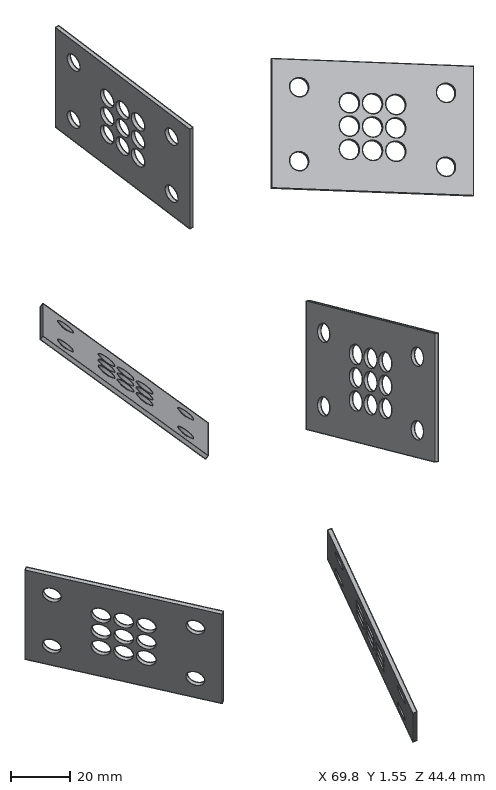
import cadquery as cq

plate_length = 69.85
plate_thickness = 1.55
plate_height = 44.4

mounts_per_side = 2
mount_diameter = 6.65
mount_spacing_x = 50.85
mount_spacing_z = mount_spacing_x / 2

grid_count = 3
grid_pitch = 8.0
grid_diameter = 7.0


def drill_array(plate, pitch_x, pitch_z, count, diameter):
    """Drill a centred count x count array of through holes along Y."""
    return (
        plate.faces("<Y")
        .workplane(origin=(0, 0, 0))
        .rarray(pitch_x, pitch_z, count, count)
        .hole(diameter)
    )


plate = cq.Workplane("XY").box(plate_length, plate_thickness, plate_height)
plate = drill_array(plate, mount_spacing_x, mount_spacing_z, mounts_per_side, mount_diameter)
result = drill_array(plate, grid_pitch, grid_pitch, grid_count, grid_diameter)